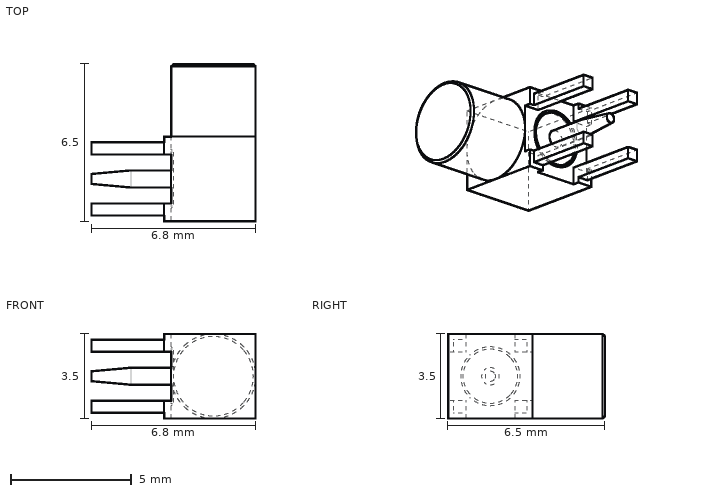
import cadquery as cq

length = 6.8
block_side = 3.5
block_front = 3.005
floor_x = length - block_side

foot_side = 0.74
leg_side = 0.51

barrel_diameter = block_side
barrel_length = 3.0
barrel_chamfer = 0.1

pin_diameter = 0.72
pin_tip_diameter = 0.42
pin_taper_length = 1.645
groove_diameter = 2.45
insulator_diameter = 2.25
groove_depth = (groove_diameter - insulator_diameter) / 2

half_side = block_side / 2


def box_between(x_start, x_end, side, y_center=0, z_center=0):
    """Square bar along X, centred on the given Y and Z."""
    bar = cq.Workplane("XY").box(x_end - x_start, side, side, centered=(False, True, True))
    return bar.translate((x_start, y_center, z_center))


def make_barrel():
    barrel_center_x = (floor_x + length) / 2
    barrel = (
        cq.Workplane("XZ", origin=(barrel_center_x, half_side, 0))
        .circle(barrel_diameter / 2)
        .extrude(-barrel_length)
    )
    return barrel.faces(">Y").chamfer(barrel_chamfer)


def make_groove():
    """Ring with a sloped outer wall and a straight inner wall."""
    profile = [
        (floor_x, groove_diameter / 2),
        (floor_x + groove_depth, insulator_diameter / 2),
        (floor_x, insulator_diameter / 2),
    ]
    return cq.Workplane("XY").polyline(profile).close().revolve(360, (0, 0), (1, 0))


def make_pin():
    profile = [
        (0, 0),
        (0, pin_tip_diameter / 2),
        (pin_taper_length, pin_diameter / 2),
        (floor_x, pin_diameter / 2),
        (floor_x, 0),
    ]
    return cq.Workplane("XY").polyline(profile).close().revolve(360, (0, 0), (1, 0))


def make_corner(y_sign, z_sign):
    """Foot flush with the block's corner; leg flush with the foot's inner sides."""
    foot_offset = half_side - foot_side / 2
    leg_offset = half_side - foot_side + leg_side / 2
    foot = box_between(block_front, floor_x, foot_side, y_sign * foot_offset, z_sign * foot_offset)
    leg = box_between(0, block_front, leg_side, y_sign * leg_offset, z_sign * leg_offset)
    return foot.union(leg)


result = box_between(floor_x, length, block_side).union(make_barrel())
result = result.cut(make_groove()).union(make_pin())
for y_sign in (-1, 1):
    for z_sign in (-1, 1):
        result = result.union(make_corner(y_sign, z_sign))